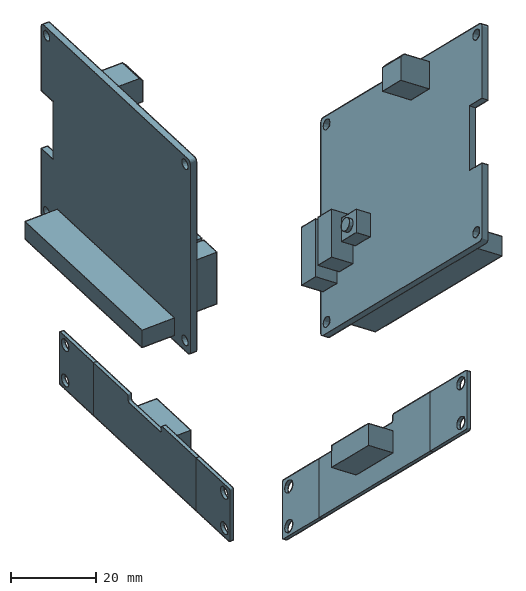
import cadquery as cq


BOARD_WIDTH = 65.1
BOARD_HEIGHT = 56.7
BOARD_THICKNESS = 1.8
BOARD_TOP = 106.4
BOARD_BOTTOM = BOARD_TOP - BOARD_HEIGHT
BOARD_CORNER_RADIUS = 1.0
BOARD_HOLE_DIAMETER = 2.7
BOARD_HOLE_INSET = 2.3
BOARD_HOLE_BOTTOM_INSET = 3.0
SIDE_NOTCH_DEPTH = 5.1
SIDE_NOTCH_HEIGHT = 16.8
SIDE_NOTCH_BOTTOM = 69.8

HEADER_LEFT = 7.0
HEADER_BOTTOM = 51.3
HEADER_WIDTH = 51.2
HEADER_HEIGHT = 5.1
HEADER_DEPTH = 9.0

JACK_LEFT = 21.3
JACK_BOTTOM = 97.2
JACK_WIDTH = 7.5
JACK_HEIGHT = 7.1
JACK_DEPTH = 8.2
JACK_CHAMFER = 1.0

BUTTON_LEFT = 45.1
BUTTON_BOTTOM = 68.0
BUTTON_SIDE = 6.1
BUTTON_DEPTH = 4.0
BUTTON_CAP_DIAMETER = 3.4
BUTTON_CAP_DEPTH = 1.0

SOCKET_TOP = 76.2
SOCKET_DEPTH = 6.2
INNER_SOCKET_LEFT = 52.1
INNER_SOCKET_WIDTH = 5.5
INNER_SOCKET_HEIGHT = 12.5
OUTER_SOCKET_LEFT = 58.5
OUTER_SOCKET_WIDTH = 5.7
OUTER_SOCKET_HEIGHT = 15.1

PANEL_LEFT = 1.1
PANEL_WIDTH = 74.6
PANEL_RIGHT = PANEL_LEFT + PANEL_WIDTH
PANEL_HEIGHT = 15.4
PANEL_THICKNESS = 1.0
PANEL_FRONT = 2.6
PANEL_BACK = PANEL_FRONT + PANEL_THICKNESS
PANEL_CORNER_RADIUS = 0.5
END_PLATE_WIDTH = 14.9
CENTRE_PLATE_WIDTH = PANEL_WIDTH - 2 * END_PLATE_WIDTH
PANEL_HOLE_DIAMETER = 3.2
PANEL_HOLE_INSET = 2.6
TOP_NOTCH_WIDTH = 14.5
TOP_NOTCH_DEPTH = 2.0
TOP_NOTCH_RADIUS = 0.5

CONNECTOR_LEFT = 31.0
CONNECTOR_BOTTOM = 5.3
CONNECTOR_WIDTH = 14.9
CONNECTOR_HEIGHT = 5.7
CONNECTOR_BACK = 10.6


def block(left, front, bottom, width, depth, height):
    """Box placed by its left, front, bottom corner."""
    return cq.Workplane("XY").box(width, depth, height, centered=False).translate((left, front, bottom))


def rod(x, z, front, diameter, depth):
    """Cylinder along +Y that starts at Y = front."""
    return cq.Workplane(cq.Solid.makeCylinder(diameter / 2, depth, cq.Vector(x, front, z), cq.Vector(0, 1, 0)))


def make_bare_board():
    front = -BOARD_THICKNESS
    board = block(0, front, BOARD_BOTTOM, BOARD_WIDTH, BOARD_THICKNESS, BOARD_HEIGHT)
    board = board.edges("|Y").fillet(BOARD_CORNER_RADIUS)
    board = board.cut(
        block(0, front, SIDE_NOTCH_BOTTOM, SIDE_NOTCH_DEPTH, BOARD_THICKNESS, SIDE_NOTCH_HEIGHT)
    )
    for x in (BOARD_HOLE_INSET, BOARD_WIDTH - BOARD_HOLE_INSET):
        for z in (BOARD_BOTTOM + BOARD_HOLE_BOTTOM_INSET, BOARD_TOP - BOARD_HOLE_INSET):
            board = board.cut(rod(x, z, front, BOARD_HOLE_DIAMETER, BOARD_THICKNESS))
    return board


def make_header():
    front = -BOARD_THICKNESS - HEADER_DEPTH
    return block(HEADER_LEFT, front, HEADER_BOTTOM, HEADER_WIDTH, HEADER_DEPTH, HEADER_HEIGHT)


def make_jack():
    jack = block(JACK_LEFT, 0, JACK_BOTTOM, JACK_WIDTH, JACK_DEPTH, JACK_HEIGHT)
    return jack.faces(">Y").edges(">Z").chamfer(JACK_CHAMFER)


def make_button():
    base = block(BUTTON_LEFT, 0, BUTTON_BOTTOM, BUTTON_SIDE, BUTTON_DEPTH, BUTTON_SIDE)
    centre_x = BUTTON_LEFT + BUTTON_SIDE / 2
    centre_z = BUTTON_BOTTOM + BUTTON_SIDE / 2
    return base.union(rod(centre_x, centre_z, BUTTON_DEPTH, BUTTON_CAP_DIAMETER, BUTTON_CAP_DEPTH))


def make_socket(left, width, height):
    return block(left, 0, SOCKET_TOP - height, width, SOCKET_DEPTH, height)


def make_circuit_board():
    """Board together with the parts mounted on it."""
    return (
        make_bare_board()
        .union(make_header())
        .union(make_jack())
        .union(make_button())
        .union(make_socket(INNER_SOCKET_LEFT, INNER_SOCKET_WIDTH, INNER_SOCKET_HEIGHT))
        .union(make_socket(OUTER_SOCKET_LEFT, OUTER_SOCKET_WIDTH, OUTER_SOCKET_HEIGHT))
    )


def make_end_plate(left, outer_side, hole_x):
    """End plate with rounded corners on its outer side ("<X" or ">X") and two screw holes."""
    plate = block(left, PANEL_FRONT, 0, END_PLATE_WIDTH, PANEL_THICKNESS, PANEL_HEIGHT)
    plate = plate.faces(outer_side).edges("|Y").fillet(PANEL_CORNER_RADIUS)
    for z in (PANEL_HOLE_INSET, PANEL_HEIGHT - PANEL_HOLE_INSET):
        plate = plate.cut(rod(hole_x, z, PANEL_FRONT, PANEL_HOLE_DIAMETER, PANEL_THICKNESS))
    return plate


def make_centre_plate():
    """Centre plate with a rounded notch in its top edge and a connector on its back."""
    left = PANEL_LEFT + END_PLATE_WIDTH
    right = left + CENTRE_PLATE_WIDTH
    notch_left = (left + right - TOP_NOTCH_WIDTH) / 2
    notch_right = notch_left + TOP_NOTCH_WIDTH
    notch_floor = PANEL_HEIGHT - TOP_NOTCH_DEPTH
    plate = (
        cq.Workplane("XZ", origin=(0, PANEL_BACK, 0))
        .moveTo(left, 0)
        .lineTo(right, 0)
        .lineTo(right, PANEL_HEIGHT)
        .lineTo(notch_right, PANEL_HEIGHT)
        .lineTo(notch_right, notch_floor)
        .lineTo(notch_left, notch_floor)
        .lineTo(notch_left, PANEL_HEIGHT)
        .lineTo(left, PANEL_HEIGHT)
        .close()
        .extrude(PANEL_THICKNESS)
    )
    middle = (left + right) / 2
    notch_zone = cq.selectors.BoxSelector(
        (middle - TOP_NOTCH_WIDTH, PANEL_FRONT, notch_floor - TOP_NOTCH_DEPTH),
        (middle + TOP_NOTCH_WIDTH, PANEL_BACK, PANEL_HEIGHT + TOP_NOTCH_DEPTH),
    )
    plate = plate.edges("|Y").edges(notch_zone).fillet(TOP_NOTCH_RADIUS)
    connector = block(
        CONNECTOR_LEFT,
        PANEL_BACK,
        CONNECTOR_BOTTOM,
        CONNECTOR_WIDTH,
        CONNECTOR_BACK - PANEL_BACK,
        CONNECTOR_HEIGHT,
    )
    return plate.union(connector)


circuit_board = make_circuit_board()
centre_plate = make_centre_plate()
left_end_plate = make_end_plate(PANEL_LEFT, "<X", PANEL_LEFT + PANEL_HOLE_INSET)
right_end_plate = make_end_plate(PANEL_RIGHT - END_PLATE_WIDTH, ">X", PANEL_RIGHT - PANEL_HOLE_INSET)

result = cq.Compound.makeCompound(
    [circuit_board.val(), centre_plate.val(), left_end_plate.val(), right_end_plate.val()]
)